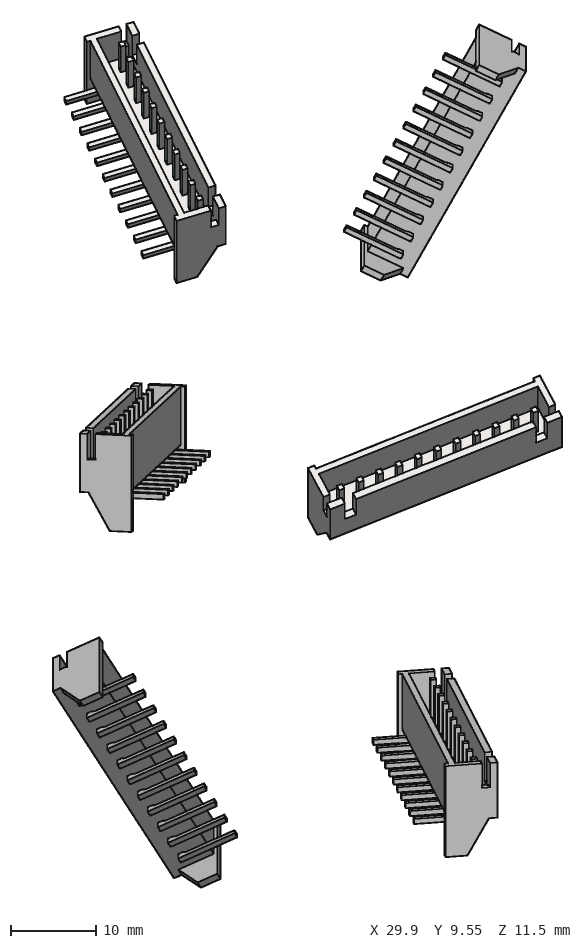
import cadquery as cq

length = 29.9
height = 11.5
depth_over_leads = 9.55

plate_depth = 6.2
plate_thickness = 0.85
housing_height = 7.0
back_wall = 0.9
front_wall = 0.8
front_recess = 0.45
floor_thickness = 2.0

heel_depth = 1.02
foot_depth = 2.6
slot_width = 0.95
slot_depth = 3.08

notch_start = 1.9
notch_width = 1.45
notch_depth = 3.6

pin_count = 11
pin_row_length = 25.0
pin_pitch = pin_row_length / (pin_count - 1)
pin_width = 0.65
pin_y = -2.35
pin_tip_z = -0.25
lead_bottom_z = -7.92
bend_radius = 0.48

cavity_front_y = front_recess + front_wall - plate_depth


def block(x_range, y_range, z_range):
    """Axis-aligned box between the given pairs of coordinates."""
    lows, highs = zip(x_range, y_range, z_range)
    sizes = [high - low for low, high in zip(lows, highs)]
    return cq.Workplane("XY").box(*sizes, centered=False).translate(lows)


def trough():
    """Open-topped box between the end plates."""
    half_length = length / 2
    half_cavity = half_length - plate_thickness
    body = block((-half_length, half_length), (front_recess - plate_depth, 0), (-housing_height, 0))
    cavity = block(
        (-half_cavity, half_cavity),
        (cavity_front_y, -back_wall),
        (floor_thickness - housing_height, 0),
    )
    return body.cut(cavity)


def end_plate(x_start):
    """Plate with a sloping leg that reaches below the housing."""
    outline = [
        (0, 0),
        (0, -housing_height),
        (-heel_depth, -housing_height),
        (foot_depth - plate_depth, -height),
        (-plate_depth, -height),
        (-plate_depth, 0),
    ]
    return cq.Workplane("YZ").polyline(outline).close().extrude(plate_thickness).translate((x_start, 0, 0))


def end_slots():
    """Slot through both end plates, along the inner face of the back wall."""
    return block((-length / 2, length / 2), (-back_wall - slot_width, -back_wall), (-slot_depth, 0))


def back_notch(x_start):
    """Notch through the back wall, open at the rim."""
    return block((x_start, x_start + notch_width), (-back_wall, 0), (-notch_depth, 0))


def pin(x_center):
    """Right-angle pin: upright contact and forward lead, rounded inside the bend."""
    half = pin_width / 2
    front_y = pin_y - half
    lead_top_z = lead_bottom_z + pin_width
    profile = (
        cq.Workplane("YZ")
        .moveTo(pin_y + half, pin_tip_z)
        .lineTo(pin_y + half, lead_bottom_z)
        .lineTo(-depth_over_leads, lead_bottom_z)
        .lineTo(-depth_over_leads, lead_top_z)
        .lineTo(front_y - bend_radius, lead_top_z)
        .radiusArc((front_y, lead_top_z + bend_radius), -bend_radius)
        .lineTo(front_y, pin_tip_z)
        .close()
    )
    return profile.extrude(half, both=True).translate((x_center, 0, 0))


result = trough()
for plate_x in (-length / 2, length / 2 - plate_thickness):
    result = result.union(end_plate(plate_x))

result = result.cut(end_slots())
for notch_x in (notch_start - length / 2, length / 2 - notch_start - notch_width):
    result = result.cut(back_notch(notch_x))

for index in range(pin_count):
    result = result.union(pin(index * pin_pitch - pin_row_length / 2))